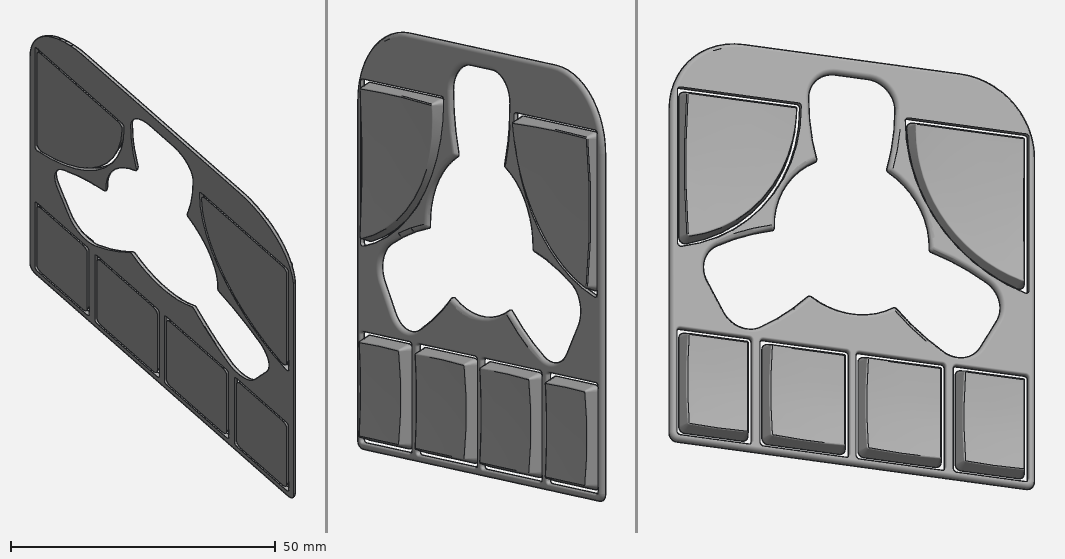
import cadquery as cq
import math

WIDTH = 74.0
HEIGHT = 81.8
PLATE_THICKNESS = 1.0
TOP_CORNER_RADIUS = 15.0
BOTTOM_CORNER_RADIUS = 1.6
BACK_EDGE_RADIUS = 0.9

HUB_RADIUS = 15.7
HUB_HEIGHT = 46.2
LOBE_COUNT = 3
LOBE_REACH = 32.0
LOBE_HALF_WIDTH = 8.75
LOBE_CORNER_RADIUS = 5.5
LOBE_SIDE_RADIUS = 45.0
HUB_CORNER_RADIUS = 0.6

BORDER = 1.4
WINDOW_CORNER_RADIUS = 0.65
WINDOW_BACK_RADIUS = 0.4
LOWER_WINDOW_HEIGHT = 21.35
OUTER_WINDOW_WIDTH = 15.2
RIB_WIDTH = 1.6
CENTRE_RIB_WIDTH = 1.4

UPPER_WINDOW_TOP = 71.25
UPPER_ARC_RADIUS = 32.2
UPPER_ARC_CENTRE_X = 42.8
UPPER_ARC_CENTRE_Z = 70.4

GAP = 0.6
PAD_CORNER_RADIUS = 1.2
PAD_DRAFT = 20.0
PAD_RIM_HEIGHT = 2.6
PAD_RIM_RADIUS = 0.25
DISH_ALLOWANCE = 0.4
PAD_BLANK_HEIGHT = PAD_RIM_HEIGHT + DISH_ALLOWANCE
LOWER_DISH_RADIUS = 90.0
UPPER_DISH_RADIUS = 155.4
UPPER_DISH_X = 25.3
UPPER_DISH_Z = 55.6

WINDOW_EDGE_X = WIDTH / 2 - BORDER
OUTER_WINDOW_X = WINDOW_EDGE_X - OUTER_WINDOW_WIDTH / 2
INNER_WINDOW_WIDTH = WINDOW_EDGE_X - OUTER_WINDOW_WIDTH - RIB_WIDTH - CENTRE_RIB_WIDTH / 2
INNER_WINDOW_X = (CENTRE_RIB_WIDTH + INNER_WINDOW_WIDTH) / 2
LOWER_WINDOW_Z = BORDER + LOWER_WINDOW_HEIGHT / 2
SIDES = (-1, 1)
LOWER_WINDOWS = [
    (-OUTER_WINDOW_X, OUTER_WINDOW_WIDTH),
    (-INNER_WINDOW_X, INNER_WINDOW_WIDTH),
    (INNER_WINDOW_X, INNER_WINDOW_WIDTH),
    (OUTER_WINDOW_X, OUTER_WINDOW_WIDTH),
]


def prism(sketch, depth, draft=0.0):
    """Raise an XZ sketch from the front face towards +Y, narrowing by the draft angle."""
    return cq.Workplane("XZ").placeSketch(sketch).extrude(-depth, taper=draft)


def lower_outline(centre_x, window_width, inset, corner_radius):
    """Rounded rectangle, inset from the edges of a lower window."""
    return (
        cq.Sketch()
        .push([(centre_x, LOWER_WINDOW_Z)])
        .rect(window_width - 2 * inset, LOWER_WINDOW_HEIGHT - 2 * inset)
        .reset()
        .vertices()
        .fillet(corner_radius)
    )


def upper_outline(side, inset, corner_radius):
    """Quarter-round shape, inset from an upper window: straight top and outer side, one long arc."""
    radius = UPPER_ARC_RADIUS - inset
    edge_x = WINDOW_EDGE_X - inset
    top_z = UPPER_WINDOW_TOP - inset
    top_x = UPPER_ARC_CENTRE_X - math.sqrt(radius**2 - (top_z - UPPER_ARC_CENTRE_Z) ** 2)
    bottom_z = UPPER_ARC_CENTRE_Z - math.sqrt(radius**2 - (UPPER_ARC_CENTRE_X - edge_x) ** 2)
    arc_middle_offset = radius * math.sqrt(0.5)
    arc_middle = (side * (UPPER_ARC_CENTRE_X - arc_middle_offset), UPPER_ARC_CENTRE_Z - arc_middle_offset)
    outer_top = (side * edge_x, top_z)
    inner_top = (side * top_x, top_z)
    outer_bottom = (side * edge_x, bottom_z)
    return (
        cq.Sketch()
        .segment(outer_top, inner_top)
        .arc(inner_top, arc_middle, outer_bottom)
        .segment(outer_bottom, outer_top)
        .assemble()
        .vertices()
        .fillet(corner_radius)
    )


def hub_junction():
    """Point, measured from the hub centre, where the left side of the upright lobe meets the hub circle."""
    side_centre_x = LOBE_SIDE_RADIUS - LOBE_HALF_WIDTH
    side_centre_z = LOBE_REACH - LOBE_CORNER_RADIUS
    distance = math.hypot(side_centre_x, side_centre_z)
    along = (HUB_RADIUS**2 - LOBE_SIDE_RADIUS**2 + distance**2) / (2 * distance)
    across = math.sqrt(HUB_RADIUS**2 - along**2)
    unit_x = side_centre_x / distance
    unit_z = side_centre_z / distance
    return along * unit_x - across * unit_z, along * unit_z + across * unit_x


def turned(x, z, angle):
    """Turn a point of the upright lobe clockwise about the hub centre and place it on the plate."""
    turned_x = x * math.cos(angle) + z * math.sin(angle)
    turned_z = z * math.cos(angle) - x * math.sin(angle)
    return turned_x, HUB_HEIGHT + turned_z


def lobed_opening():
    """Cutter for the opening: a round hub with lobes spread evenly around it."""
    junction_x, junction_z = hub_junction()
    shoulder_z = LOBE_REACH - LOBE_CORNER_RADIUS
    flat_half_width = LOBE_HALF_WIDTH - LOBE_CORNER_RADIUS
    corner_x = flat_half_width + LOBE_CORNER_RADIUS * math.sqrt(0.5)
    corner_z = shoulder_z + LOBE_CORNER_RADIUS * math.sqrt(0.5)
    side_z = (junction_z + shoulder_z) / 2
    side_x = LOBE_HALF_WIDTH - LOBE_SIDE_RADIUS + math.sqrt(LOBE_SIDE_RADIUS**2 - (shoulder_z - side_z) ** 2)
    lobe_pitch = 2 * math.pi / LOBE_COUNT

    outline = cq.Workplane("XZ").moveTo(*turned(junction_x, junction_z, 0))
    for index in range(LOBE_COUNT):
        angle = index * lobe_pitch
        next_angle = angle + lobe_pitch
        outline = (
            outline.threePointArc(turned(-side_x, side_z, angle), turned(-LOBE_HALF_WIDTH, shoulder_z, angle))
            .threePointArc(turned(-corner_x, corner_z, angle), turned(-flat_half_width, LOBE_REACH, angle))
            .lineTo(*turned(flat_half_width, LOBE_REACH, angle))
            .threePointArc(turned(corner_x, corner_z, angle), turned(LOBE_HALF_WIDTH, shoulder_z, angle))
            .threePointArc(turned(side_x, side_z, angle), turned(-junction_x, junction_z, angle))
            .threePointArc(
                turned(0, HUB_RADIUS, angle + lobe_pitch / 2), turned(junction_x, junction_z, next_angle)
            )
        )
    cutter = outline.close().extrude(-PLATE_THICKNESS)

    hub_box_half = HUB_RADIUS + HUB_CORNER_RADIUS
    hub_corners = cq.selectors.BoxSelector(
        (-hub_box_half, -PLATE_THICKNESS, HUB_HEIGHT - hub_box_half),
        (hub_box_half, 2 * PLATE_THICKNESS, HUB_HEIGHT + hub_box_half),
    )
    return cutter.edges("|Y").edges(hub_corners).fillet(HUB_CORNER_RADIUS)


def build_plate():
    """Plate with rounded corners and back edges, the lobed opening and one window per pad."""
    plate = (
        cq.Workplane("XY")
        .box(WIDTH, PLATE_THICKNESS, HEIGHT, centered=(True, False, False))
        .edges("|Y and >Z")
        .fillet(TOP_CORNER_RADIUS)
        .edges("|Y and <Z")
        .fillet(BOTTOM_CORNER_RADIUS)
        .cut(lobed_opening())
        .faces(">Y")
        .edges()
        .fillet(BACK_EDGE_RADIUS)
    )
    windows = [lower_outline(centre_x, width, 0, WINDOW_CORNER_RADIUS) for centre_x, width in LOWER_WINDOWS]
    windows += [upper_outline(side, 0, WINDOW_CORNER_RADIUS) for side in SIDES]
    for window in windows:
        plate = plate.cut(prism(window, PLATE_THICKNESS))
    back_outlines = plate.faces(">Y").wires().vals()
    window_outlines = [wire for wire in back_outlines if wire.BoundingBox().xlen < WIDTH / 2]
    window_edges = [edge for wire in window_outlines for edge in wire.Edges()]
    return plate.newObject(window_edges).fillet(WINDOW_BACK_RADIUS)


def dished_pad(outline, dish_x, dish_z, dish_radius):
    """Drafted pad, rounded along the rim of a spherical hollow that rises to the rim height at the corners."""
    blank = prism(outline, PAD_BLANK_HEIGHT, PAD_DRAFT)
    corners = [vertex.Center() for vertex in blank.faces(">Y").vertices().vals()]
    reach = max(math.hypot(corner.x - dish_x, corner.z - dish_z) for corner in corners)
    sphere_y = PAD_RIM_HEIGHT + math.sqrt(dish_radius**2 - reach**2)
    dish = cq.Workplane("XY").sphere(dish_radius).translate((dish_x, sphere_y, dish_z))
    return blank.cut(dish).faces("%SPHERE").edges().fillet(PAD_RIM_RADIUS)


def build_lower_pad(centre_x, window_width):
    """Rectangular pad for a lower window."""
    outline = lower_outline(centre_x, window_width, GAP, PAD_CORNER_RADIUS)
    return dished_pad(outline, centre_x, LOWER_WINDOW_Z, LOWER_DISH_RADIUS)


def build_upper_pad(side):
    """Quarter-round pad for an upper window."""
    outline = upper_outline(side, GAP, PAD_CORNER_RADIUS)
    return dished_pad(outline, side * UPPER_DISH_X, UPPER_DISH_Z, UPPER_DISH_RADIUS)


plate = build_plate()
lower_pads = [build_lower_pad(centre_x, width) for centre_x, width in LOWER_WINDOWS]
upper_pads = [build_upper_pad(side) for side in SIDES]

result = cq.Compound.makeCompound([plate.val(), *[pad.val() for pad in lower_pads + upper_pads]])